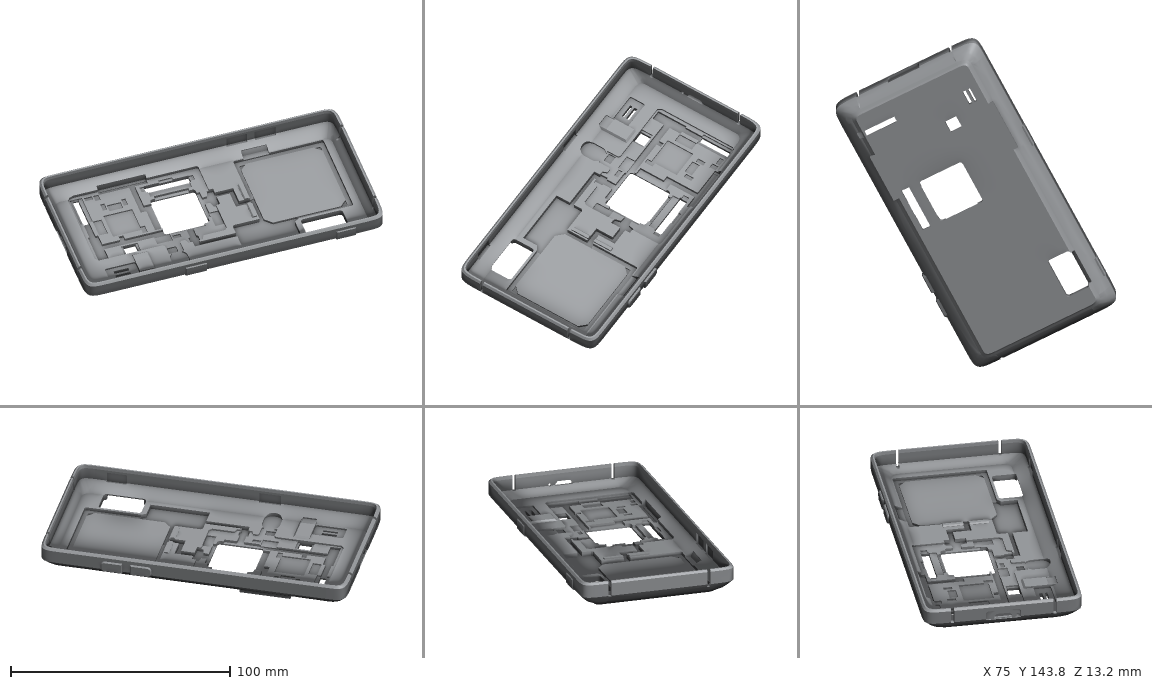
import cadquery as cq
half_x = 36.8
half_y = 71.9
height = 13.2
band_z = 6.3
corner_x = 24.7
corner_y = 62.8
band_sharpness = 0.05
rim_chamfer = 0.9
wall = 1.9
lip_z = 11.8
lip_undercut = 0.3

floor_z = 2.9
board_z = 2.0
chip_z = 1.3
channel_z = 0.7
notch_z = 1.0

floor_half_x = 28.0
floor_half_y = 66.7
floor_sharpness = 0.45
foot_sharpness = 0.3

foot_top = (1.3, 6.3, 4.6)
back_curve = [
    (band_z, 0.0, 0.0),
    (4.5, 1.7, 1.2),
    (2.6, 3.7, 2.7),
    foot_top,
]
foot_levels = [
    foot_top,
    (0.6, 7.5, 5.9),
    (0.0, 8.2, 6.6),
]

boss_top_z = 1.7
bosses = [
    (-31.3, -44.9, -25.9, -21.0),
    (25.9, -43.1, 30.9, -18.1),
]

plate_center = (-5.5, 41.4)
plate_size = (39.3, 39.3)
plate_chamfer = 3.3
plate_top_z = 1.9
seat_r = 0.9

slot_x = 23.7
slot_width = 1.5
slot_bottom_z = 5.9
side_hole_d = 1.6
side_hole_z = 5.3
usb_x = (-8.3, 7.9)
usb_z = (5.6, 10.4)
usb_r = 1.3
usb_depth = 1.0
usb_bevel = 0.6

shelf = (-27.5, 19.7, 16.2, 63.1)
camera_window = (17.4, 37.1, 28.8, 57.2)
center_window = (-17.1, -23.9, 4.9, -2.0)
window_r = 1.5
plain_windows = [
    (-26.2, -23.7, -22.1, -2.2),
    (6.9, -44.6, 12.8, -38.7),
    (20.7, -53.8, 22.3, -46.7),
    (23.5, -53.8, 24.6, -46.7),
    (-27.9, -57.4, -12.4, -54.5),
]
flank_notch = (-31.0, -44.7, -27.5, -21.3)
flank_pocket = (-31.3, 24.7, -27.3, 37.1)
flank_draft = 1.3
card_mouth_x = (-32.4, -27.3)
card_mouth_z = (0.6, 1.7)
lens_pocket = (18.5, -26.9, 30.3, -18.5)
lens_r = 3.7
camera_flare = 3.6
jack_seat = (14.1, -42.7, 30.2, -34.7)
jack_bevel = 1.2
jack_z = 3.7
jack_end = (25.9, -42.4, 30.2, -36.0)
jack_end_z = 3.3
grille_pocket = (18.8, -57.4, 26.9, -42.7)
grille_r = 0.9
component_pockets = [
    (7.6, -21.3, 9.6, -17.4),
    (6.0, -29.3, 10.5, -21.9),
    (-21.4, -36.1, -17.4, -34.1),
    (-20.0, -43.4, -16.1, -36.8),
    (-21.4, -46.2, -17.4, -44.1),
    (-27.6, -47.5, -24.3, -45.0),
    (-27.6, -51.9, -25.6, -48.2),
    (-14.1, -47.0, -0.3, -33.2),
    (-2.3, -33.4, 1.9, -31.0),
    (-12.2, -52.8, -3.0, -48.6),
    (-28.0, -58.7, -12.2, -52.8),
    (14.5, -26.2, 18.1, -21.7),
    (6.9, -45.6, 12.8, -37.7),
    (-25.9, -2.2, -22.9, -0.1),
    (-25.9, -25.7, -22.9, -23.7),
    (-22.1, -22.9, -18.8, -2.9),
    (-27.5, -16.2, -26.2, -9.6),
    (-0.9, -0.6, 8.0, 3.7),
]
channel_runs = [
    (-18.7, -21.3, 6.5, -4.7),
    (-14.5, -27.5, 1.9, -0.6),
    (-27.5, -30.2, -10.8, -27.5),
    (-29.8, -43.7, -27.5, -21.4),
    (2.7, -53.5, 6.0, -13.8),
    (0.5, -44.6, 2.9, -42.3),
    (-12.5, -57.4, -3.2, -54.5),
    (-3.2, -58.1, 12.1, -53.2),
]
board_outline = [
    (-29.3, 2.6), (-28.8, 3.6), (-13.7, 3.6), (11.2, 3.7), (12.7, 2.6), (12.7, -7.9), (15.0, -8.8),
    (15.0, -15.8), (12.8, -16.7), (12.8, -18.7), (13.5, -19.3), (19.1, -19.3), (19.1, -26.6),
    (13.5, -26.6), (12.8, -27.5), (12.8, -58.2), (11.2, -59.5), (-27.5, -59.5), (-28.8, -58.5),
    (-29.3, -56.5),
]
feed_outline = [
    (13.7, 36.8), (16.2, 36.8), (17.7, 34.5), (25.3, 34.5), (25.3, 6.6), (18.1, 6.6), (18.1, -13.8),
    (15.1, -13.8), (15.0, -14.7), (11.5, -14.7), (11.2, -13.8), (5.6, -13.8), (5.6, -10.6), (11.0, -10.6),
    (11.5, -9.9), (14.7, -9.9), (15.2, -10.6), (16.0, -10.6), (16.0, 6.6), (11.8, 6.6), (11.0, 7.3),
    (11.0, 19.7), (0.1, 19.7), (0.1, 12.0), (-8.6, 12.0), (-8.6, 5.6), (-3.7, 5.6), (-3.7, 2.6),
    (-6.6, 1.9), (-6.9, -0.9), (-10.8, -0.9), (-11.1, 1.9), (-14.0, 2.6), (-14.0, 5.6), (-11.4, 5.6),
    (-11.4, 14.4), (-2.7, 14.4), (-2.7, 19.0), (-3.7, 22.3),
]
ribs = [(-12.2, 16.8, -2.7, 19.0), (0.1, 16.8, 9.2, 19.0)]
rib_height = 0.7
rib_chamfer = 0.6

button_z = (5.5, 10.6)
left_button_reach = 0.9
right_button_reach = 0.5
button_chamfer = 0.5
button_end_r = 1.9
button_recess_x = (34.2, 35.8)
left_buttons = [((32.6, 42.7), ">Y"), ((19.0, 28.9), "<Y")]
right_buttons = [((48.0, 57.4), None), ((-24.5, -14.1), None)]


def rounded_wire(z, hx, hy, sharpness):
    """Closed rectangle of half sizes hx, hy at height z, with a free-form curve at each corner."""
    control_x = hx - sharpness * (hx - corner_x)
    control_y = hy - sharpness * (hy - corner_y)
    edges = []
    for sx, sy in ((1, 1), (-1, 1), (-1, -1), (1, -1)):
        curve = [
            cq.Vector(sx * hx, sy * corner_y, z),
            cq.Vector(sx * hx, sy * control_y, z),
            cq.Vector(sx * control_x, sy * hy, z),
            cq.Vector(sx * corner_x, sy * hy, z),
        ]
        if sx != sy:
            curve.reverse()
        edges.append(cq.Edge.makeBezier(curve))
    sides = [cq.Edge.makeLine(edges[i].endPoint(), edges[(i + 1) % 4].startPoint()) for i in range(4)]
    outline = [edge for corner_and_side in zip(edges, sides) for edge in corner_and_side]
    return cq.Wire.assembleEdges(outline)


def loft(sections, ruled=True):
    """Solid through rounded rectangles given as (z, half x, half y, corner sharpness)."""
    wires = [rounded_wire(*section) for section in sections]
    return cq.Workplane(cq.Solid.makeLoft(wires, ruled))


def box(area, z_low, z_high, r=0.0):
    """Upright block over a plan area, with its vertical edges rounded if r is given."""
    x0, y0, x1, y1 = area
    block = cq.Workplane("XY").box(x1 - x0, y1 - y0, z_high - z_low, centered=False)
    block = block.translate((x0, y0, z_low))
    if r:
        block = block.edges("|Z").fillet(r)
    return block


def prism(points, z_low, z_high):
    return cq.Workplane("XY").workplane(offset=z_low).polyline(points).close().extrude(z_high - z_low)


def make_outer():
    """Outside of the case: foot, curved back, upright band and chamfered rim."""
    def section(level):
        z, inset_x, inset_y = level
        sharpness = band_sharpness + (foot_sharpness - band_sharpness) * (band_z - z) / band_z
        return (z, half_x - inset_x, half_y - inset_y, sharpness)

    foot = loft([section(level) for level in reversed(foot_levels)])
    back = loft([section(level) for level in reversed(back_curve)], ruled=False)
    band = loft([
        (band_z, half_x, half_y, band_sharpness),
        (height - rim_chamfer, half_x, half_y, band_sharpness),
        (height, half_x - rim_chamfer, half_y - rim_chamfer, band_sharpness),
    ])
    outer = foot.union(back).union(band)
    for area in bosses:
        outer = outer.union(box(area, 0, boss_top_z))
    return outer


def make_cavity():
    """Open inside: flat floor, sloped lower wall, upright wall and a thinner lip."""
    inner_x = half_x - wall
    inner_y = half_y - wall
    return loft([
        (floor_z, floor_half_x, floor_half_y, floor_sharpness),
        (band_z, inner_x, inner_y, band_sharpness),
        (lip_z, inner_x, inner_y, band_sharpness),
        (height, inner_x + lip_undercut, inner_y + lip_undercut, band_sharpness),
    ])


def make_button(y_range, round_end, reach, side):
    """Raised button on the band; side is -1 for the left flank and 1 for the right."""
    y0, y1 = y_range
    z0, z1 = button_z
    button = box((half_x - wall / 2, y0, half_x + reach, y1), z0, z1)
    if round_end:
        button = button.edges(f"|X and {round_end}").fillet(button_end_r)
    button = button.faces(">X").chamfer(button_chamfer)
    return button if side > 0 else button.mirror("YZ")


def make_button_recess(y_range, side):
    """Hollow on the inside of the band, behind a button."""
    y0, y1 = y_range
    x0, x1 = button_recess_x
    recess = box((x0, y0, x1, y1), *button_z)
    return recess if side > 0 else recess.mirror("YZ")


def cut_end_slots(case):
    """Two slots through the band at both ends, and a side hole under one of them."""
    for x in (-slot_x, slot_x):
        area = (x - slot_width / 2, -half_y - wall, x + slot_width / 2, half_y + wall)
        case = case.cut(box(area, slot_bottom_z, height))
    hole = (
        cq.Workplane("XZ", origin=(-slot_x, half_y + wall, side_hole_z))
        .circle(side_hole_d / 2)
        .extrude(3 * wall)
    )
    return case.cut(hole)


def cut_usb_port(case):
    """Recess in the -Y end with the plug opening and the microphone hole."""
    recess = box((usb_x[0], -half_y, usb_x[1], -half_y + usb_depth), *usb_z)
    recess = recess.edges("|Y and >Z").fillet(usb_r)
    mouth = recess.faces("<Y").wires().toPending().workplane(offset=-usb_bevel).extrude(
        usb_bevel, combine=False, taper=-45
    )
    plug = (
        cq.Workplane("XZ", origin=(0, -half_y + 3 * wall, 0))
        .polyline([(-4.2, 6.0), (3.9, 6.0), (3.9, 6.8), (2.9, 8.0), (-3.2, 8.0), (-4.2, 6.8)])
        .close()
        .extrude(3 * wall)
    )
    microphone = (
        cq.Workplane("XZ", origin=(6.6, -half_y + 3 * wall, 6.8)).circle(0.7).extrude(3 * wall)
    )
    return case.cut(recess).cut(mouth).cut(plug).cut(microphone)


def profile_along_y(points, y_low, y_high):
    """Block with an XZ profile, running along Y."""
    sketch = cq.Workplane("XZ", origin=(0, y_high, 0)).polyline(points).close()
    return sketch.extrude(y_high - y_low)


def make_flank_pocket():
    """Pocket in the sloped left wall, with a leaning outer side."""
    x0, y0, x1, y1 = flank_pocket
    profile = [
        (x0, band_z), (x0, floor_z + flank_draft), (x0 + flank_draft, board_z), (x1, board_z), (x1, band_z),
    ]
    return profile_along_y(profile, y0, y1)


def make_camera_flare():
    """Wedge that opens the +X side of the camera window towards the outside."""
    _, y0, x1, y1 = camera_window
    profile = [(x1 - window_r, 0), (x1 - window_r, floor_z), (x1, floor_z), (x1 + camera_flare, 0)]
    return profile_along_y(profile, y0 + window_r, y1 - window_r)


def add_jack_seat(case):
    """Low block with bevelled sides that runs into the sloped right wall."""
    seat = box(jack_seat, floor_z - jack_bevel, jack_z)
    seat = seat.edges("(<X and >Z) or (>Y and >Z)").chamfer(jack_bevel)
    return case.union(seat).cut(box(jack_end, jack_end_z, band_z))


def make_floor_cutters():
    """All recesses and openings in the floor."""
    top = band_z
    cutters = [
        prism(board_outline, board_z, top),
        prism(feed_outline, channel_z, floor_z),
        box(shelf, chip_z, floor_z, seat_r),
        box(flank_notch, notch_z, top),
        make_flank_pocket(),
        box(lens_pocket, board_z, top, lens_r),
        box(grille_pocket, board_z, floor_z, grille_r),
        box(camera_window, 0, top, window_r),
        make_camera_flare(),
        box(center_window, 0, top, window_r),
    ]
    cutters += [box(area, channel_z, floor_z) for area in channel_runs]
    cutters += [box(area, chip_z, floor_z) for area in component_pockets]
    cutters += [box(area, 0, floor_z) for area in plain_windows]
    _, card_y0, _, card_y1 = plain_windows[-1]
    cutters.append(box((card_mouth_x[0], card_y0, card_mouth_x[1], card_y1), *card_mouth_z))
    return cutters


def plate_area():
    cx, cy = plate_center
    hx = plate_size[0] / 2
    hy = plate_size[1] / 2
    return (cx - hx, cy - hy, cx + hx, cy + hy)


def make_case():
    case = make_outer().cut(make_cavity())
    for cutter in make_floor_cutters():
        case = case.cut(cutter)
    case = add_jack_seat(case)
    case = case.cut(box(plate_area(), channel_z, floor_z, seat_r))
    for area in ribs:
        rib = box(area, floor_z, floor_z + rib_height).edges("<Y and >Z").chamfer(rib_chamfer)
        case = case.union(rib)
    flanks = (
        (-1, left_button_reach, left_buttons),
        (1, right_button_reach, right_buttons),
    )
    for side, reach, ranges in flanks:
        for y_range, round_end in ranges:
            case = case.union(make_button(y_range, round_end, reach, side))
            case = case.cut(make_button_recess(y_range, side))
    case = cut_end_slots(case)
    return cut_usb_port(case)


def make_plate():
    """Square plate with cut corners, lying in the seat, proud of the shelf around it."""
    return box(plate_area(), channel_z, plate_top_z).edges("|Z").chamfer(plate_chamfer)


case = make_case()
plate = make_plate()
result = cq.Compound.makeCompound([case.solids().val(), plate.solids().val()])